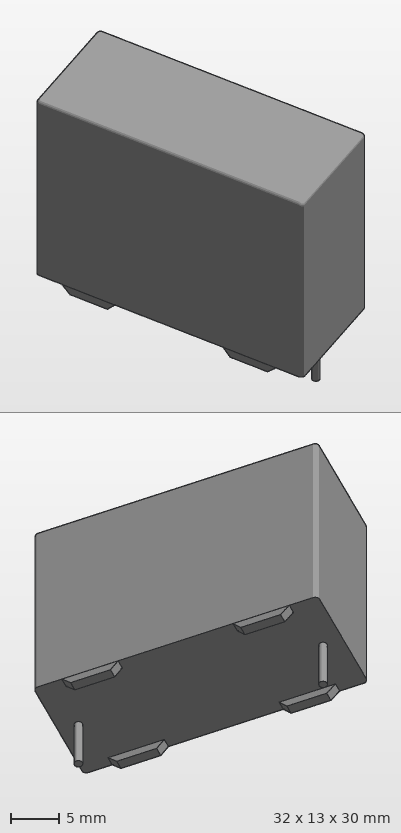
import cadquery as cq

length = 32.0
width = 13.0
height = 24.0
edge_radius = 0.5

pin_diameter = 0.9
pin_length = 6.0
pin_spacing = 27.52

foot_height = 1.0
foot_depth = 1.1
foot_outer_x = 12.8
foot_inner_x = 6.45
foot_outer_run = 1.0
foot_inner_run = 0.85


def make_housing():
    """Box with rounded upright and top edges and a sharp underside."""
    box = cq.Workplane("XY").box(length, width, height, centered=(True, True, False))
    return box.edges("|Z or >Z").fillet(edge_radius)


def make_pin(x):
    """Straight pin hanging from the underside on the centre line."""
    return cq.Workplane("XY").center(x, 0).circle(pin_diameter / 2).extrude(-pin_length)


def make_foot(x_side, y_side):
    """Trapezoidal foot; each side is -1 or +1 and selects a corner of the housing."""
    outline = [
        (x_side * foot_outer_x, 0),
        (x_side * (foot_outer_x - foot_outer_run), -foot_height),
        (x_side * (foot_inner_x + foot_inner_run), -foot_height),
        (x_side * foot_inner_x, 0),
    ]
    centre_y = y_side * (width - foot_depth) / 2
    return (
        cq.Workplane("XZ", origin=(0, centre_y, 0))
        .polyline(outline)
        .close()
        .extrude(foot_depth / 2, both=True)
    )


sides = (-1, 1)
housing = make_housing()
pins = [make_pin(side * pin_spacing / 2) for side in sides]
feet = [make_foot(x_side, y_side) for x_side in sides for y_side in sides]

result = cq.Compound.makeCompound([body.val() for body in [housing, *pins, *feet]])